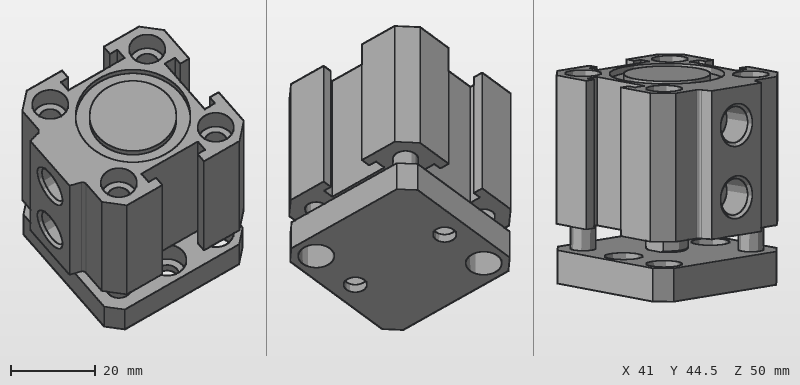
import cadquery as cq
import math

total_height = 50.0
plate_thickness = 8.0
gap = 6.4
plate_top = plate_thickness
housing_bottom = plate_top + gap
housing_height = total_height - housing_bottom
corner_offset = 14.0

housing_width = 41.0
half_width = housing_width / 2
housing_corner = 4.25
port_face = 24.0
bump_tip_half = 8.0
bump_base_half = 9.0
bump_fillet = 1.0
slot_mouth = 12.0
slot_inner = 16.3
slot_lip = 2.6
slot_depth = 5.55
bolt_hole_dia = 5.3
bolt_head_dia = 8.5
bolt_head_depth = 5.5
cap_groove_outer_dia = 27.1
cap_dia = 20.5
cap_groove_depth = 1.55
collar_dia = 20.5
collar_height = 2.6
collar_chamfer = 1.15
collar_bottom = housing_bottom - collar_height
port_dia = 8.7
port_mouth_dia = 10.25
port_depth = 8.0
port_end_distance = 9.15

plate_width = 40.0
plate_corner = 3.5
access_hole_dia = 8.5
plate_bolt_dia = 5.5
plate_bolt_head_dia = 9.0
plate_bolt_head_depth = 5.7
guide_rod_dia = 6.0
piston_rod_dia = 10.0
piston_rod_end_chamfer = 0.4
flat_width = 8.0
flat_height = 3.0

bolt_diagonal = [(-corner_offset, -corner_offset), (corner_offset, corner_offset)]
guide_diagonal = [(-corner_offset, corner_offset), (corner_offset, -corner_offset)]


def cylinder(x, y, bottom, diameter, height):
    return cq.Workplane("XY", origin=(x, y, bottom)).circle(diameter / 2).extrude(height)


def chamfered_block(width, corner, bottom, height):
    block = cq.Workplane("XY", origin=(0, 0, bottom)).rect(width, width).extrude(height)
    return block.edges("|Z").chamfer(corner)


def port_bump():
    """Tapered bump carrying the ports, with fillets where it leaves the -Y face."""
    slope = math.atan2(bump_base_half - bump_tip_half, port_face - half_width)
    turn = math.pi / 2 - slope
    tangent = bump_fillet * math.tan(turn / 2)
    foot = bump_base_half + tangent
    side_x = bump_base_half - tangent * math.sin(slope)
    side_y = -half_width - tangent * math.cos(slope)
    mid_x = foot - bump_fillet * math.sin(turn / 2)
    mid_y = -half_width - bump_fillet + bump_fillet * math.cos(turn / 2)
    return (
        cq.Workplane("XY", origin=(0, 0, housing_bottom))
        .moveTo(-foot, -half_width)
        .threePointArc((-mid_x, mid_y), (-side_x, side_y))
        .lineTo(-bump_tip_half, -port_face)
        .lineTo(bump_tip_half, -port_face)
        .lineTo(side_x, side_y)
        .threePointArc((mid_x, mid_y), (foot, -half_width))
        .lineTo(foot, 0)
        .lineTo(-foot, 0)
        .close()
        .extrude(housing_height)
    )


def t_slot(angle):
    """T-slot cutter for the +Y face, turned about Z by the given angle."""
    base = cq.Workplane("XY", origin=(0, 0, housing_bottom))
    mouth = base.center(0, half_width - slot_depth / 2).rect(slot_mouth, slot_depth)
    mouth = mouth.extrude(housing_height)
    inner_depth = slot_depth - slot_lip
    inner = base.center(0, half_width - slot_lip - inner_depth / 2).rect(slot_inner, inner_depth)
    inner = inner.extrude(housing_height)
    return mouth.union(inner).rotate((0, 0, 0), (0, 0, 1), angle)


def port(height):
    """Blind port with a 45 degree countersunk mouth, entering from the port face."""
    bore_radius = port_dia / 2
    mouth_radius = port_mouth_dia / 2
    mouth_depth = mouth_radius - bore_radius
    section = [
        (0, 0),
        (mouth_radius, 0),
        (bore_radius, mouth_depth),
        (bore_radius, port_depth),
        (0, port_depth),
    ]
    cutter = cq.Workplane("XY").polyline(section).close().revolve(360, (0, 0, 0), (0, 1, 0))
    return cutter.translate((0, -port_face, height))


def end_cap_groove():
    bottom = total_height - cap_groove_depth
    outer = cylinder(0, 0, bottom, cap_groove_outer_dia, cap_groove_depth)
    return outer.cut(cylinder(0, 0, bottom, cap_dia, cap_groove_depth))


def rod_collar():
    collar = cylinder(0, 0, collar_bottom, collar_dia, collar_height)
    return collar.faces("<Z").chamfer(collar_chamfer)


def make_housing():
    body = chamfered_block(housing_width, housing_corner, housing_bottom, housing_height)
    body = body.union(port_bump()).union(rod_collar())
    for angle in (0, 90, -90):
        body = body.cut(t_slot(angle))
    for x, y in bolt_diagonal + guide_diagonal:
        body = body.cut(cylinder(x, y, housing_bottom, bolt_hole_dia, housing_height))
        body = body.cut(cylinder(x, y, total_height - bolt_head_depth, bolt_head_dia, bolt_head_depth))
    for height in (housing_bottom + port_end_distance, total_height - port_end_distance):
        body = body.cut(port(height))
    return body.cut(end_cap_groove())


def piston_rod():
    """Rod from the plate to the collar, with two wrench flats facing -X and +X."""
    rod = cylinder(0, 0, plate_top, piston_rod_dia, collar_bottom - plate_top)
    rod = rod.faces("<Z").chamfer(piston_rod_end_chamfer)
    flat_centre = (flat_width + piston_rod_dia) / 2
    for x in (-flat_centre, flat_centre):
        flat = cq.Workplane("XY", origin=(x, 0, plate_top)).rect(piston_rod_dia, piston_rod_dia)
        rod = rod.cut(flat.extrude(flat_height))
    return rod


def make_rod_plate():
    body = chamfered_block(plate_width, plate_corner, 0, plate_thickness)
    for x, y in bolt_diagonal:
        body = body.cut(cylinder(x, y, 0, access_hole_dia, plate_thickness))
    for x in (-corner_offset, corner_offset):
        body = body.cut(cylinder(x, 0, 0, plate_bolt_dia, plate_thickness))
        head_bottom = plate_top - plate_bolt_head_depth
        body = body.cut(cylinder(x, 0, head_bottom, plate_bolt_head_dia, plate_bolt_head_depth))
    for x, y in guide_diagonal:
        body = body.union(cylinder(x, y, plate_top, guide_rod_dia, gap))
    return body.union(piston_rod())


housing = make_housing()
rod_plate = make_rod_plate()
result = cq.Compound.makeCompound([housing.val(), rod_plate.val()])